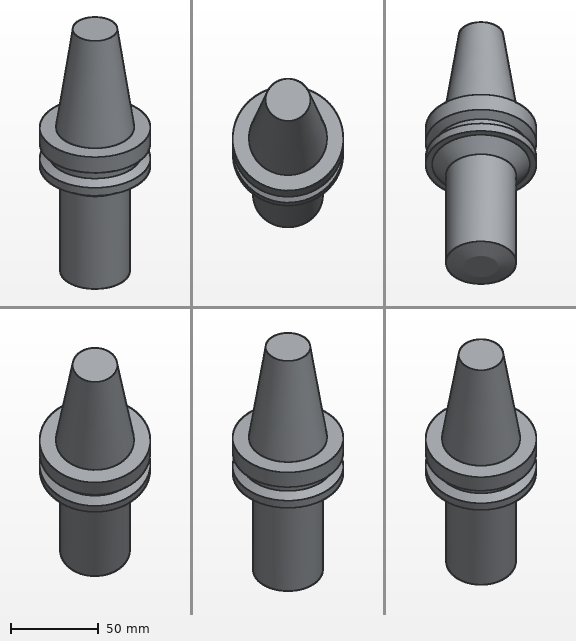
import cadquery as cq

total_length = 165.4
taper_top_diameter = 25.5
gauge_diameter = 44.5
taper_length = 65.3
collar_length = 1.0

flange_diameter = 63.0
groove_diameter = 53.0
upper_rim_width = 10.8
groove_side_height = 3.0
groove_floor_width = 4.0
lower_rim_width = 5.3

neck_top_diameter = 55.5
neck_height = 8.0
nose_diameter = 40.0
tip_diameter = 19.8
tip_height = 2.8

gauge_z = total_length - taper_length
flange_top_z = gauge_z - collar_length
groove_top_z = flange_top_z - upper_rim_width
floor_top_z = groove_top_z - groove_side_height
floor_bottom_z = floor_top_z - groove_floor_width
groove_bottom_z = floor_bottom_z - groove_side_height
flange_bottom_z = groove_bottom_z - lower_rim_width
neck_bottom_z = flange_bottom_z - neck_height

stations = [
    (taper_top_diameter, total_length),
    (gauge_diameter, gauge_z),
    (gauge_diameter, flange_top_z),
    (flange_diameter, flange_top_z),
    (flange_diameter, groove_top_z),
    (groove_diameter, floor_top_z),
    (groove_diameter, floor_bottom_z),
    (flange_diameter, groove_bottom_z),
    (flange_diameter, flange_bottom_z),
    (neck_top_diameter, flange_bottom_z),
    (nose_diameter, neck_bottom_z),
    (nose_diameter, tip_height),
    (tip_diameter, 0),
]
half_profile = [(diameter / 2, z) for diameter, z in stations]

result = (
    cq.Workplane("XZ")
    .moveTo(0, total_length)
    .polyline(half_profile, includeCurrent=True)
    .lineTo(0, 0)
    .close()
    .revolve(360, (0, 0), (0, 1))
)